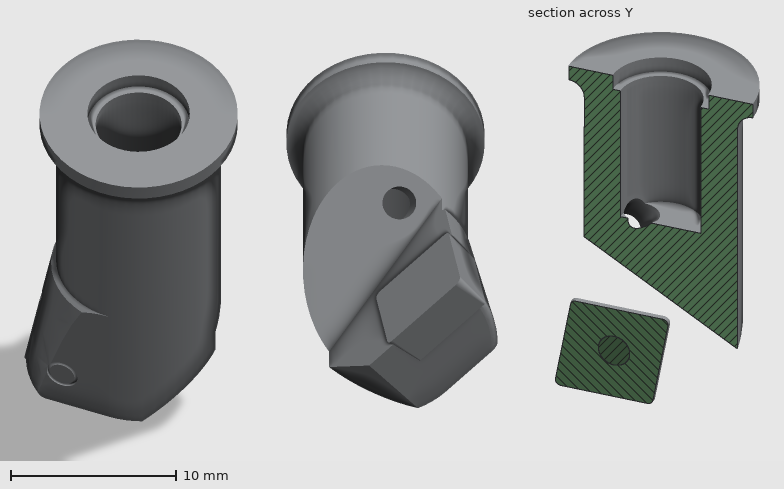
import cadquery as cq
import math


FLANGE_RADIUS = 6.0
FLANGE_THICKNESS = 1.0
SHANK_RADIUS = 5.0
NECK_RADIUS = FLANGE_RADIUS - SHANK_RADIUS
COUNTERBORE_RADIUS = 3.1
COUNTERBORE_DEPTH = 1.0
BORE_RADIUS = 2.6
BORE_DEPTH = 10.0

INSERT_INSCRIBED_CIRCLE = 6.35
INSERT_THICKNESS = 2.38
INSERT_ANGLE = 80.0
NOSE_RADIUS = 0.4
RELIEF_ANGLE = 7.0
NOSE_REACH = 6.9
TIP_Z = -23.03
INSERT_FACE_Y = 0.28

POCKET_RUNOUT = 0.5

RELIEF_SLOPE = math.tan(math.radians(RELIEF_ANGLE))
HEAD_TAPER = math.tan(math.radians(90.0 - INSERT_ANGLE))
HEAD_TOP_Z = -13.25
HEAD_STEP = 0.3
HEAD_BOTTOM_Z = -22.95
HEEL_CHAMFER_TOP_Z = -19.4
HEAD_TRIM = 2.0

CHIP_FACE_Z = -12.0
CHIP_SLOPE_X = -math.tan(math.radians(30.0))
CHIP_SLOPE_Y = 0.68

COOLANT_RADIUS = 1.0
COOLANT_START = cq.Vector(-1.56, 0.83, -BORE_DEPTH)
COOLANT_EXIT = cq.Vector(-3.0, 1.66, -12.04)

PIN_RADIUS = 1.0
PIN_CHAMFER = 0.2
PIN_X = -3.04
PIN_Z = -19.7

CLEAR = 40.0


def make_shank():
    neck_z = -FLANGE_THICKNESS - NECK_RADIUS
    neck_drop = NECK_RADIUS * (1 - math.sqrt(0.5))
    neck_middle = (SHANK_RADIUS + neck_drop, -FLANGE_THICKNESS - neck_drop)
    return (
        cq.Workplane("XZ")
        .lineTo(FLANGE_RADIUS, 0)
        .lineTo(FLANGE_RADIUS, -FLANGE_THICKNESS)
        .threePointArc(neck_middle, (SHANK_RADIUS, neck_z))
        .lineTo(SHANK_RADIUS, -CLEAR)
        .lineTo(0, -CLEAR)
        .close()
        .revolve(360, (0, 0), (0, 1))
    )


def below_relief_plane():
    """Everything under the bottom face, which rises toward -Y at the relief angle."""
    rise = CLEAR * RELIEF_SLOPE
    return (
        cq.Workplane("YZ")
        .moveTo(-CLEAR, HEAD_BOTTOM_Z + rise)
        .lineTo(CLEAR, HEAD_BOTTOM_Z - rise)
        .lineTo(CLEAR, -2 * CLEAR)
        .lineTo(-CLEAR, -2 * CLEAR)
        .close()
        .extrude(CLEAR, both=True)
    )


def make_cone_sector():
    """Quarter of a flaring cone that backs up the insert, flat on its -Y side."""
    step_z = HEAD_TOP_Z - HEAD_STEP
    step_radius = SHANK_RADIUS + HEAD_STEP
    end_z = TIP_Z - HEAD_TRIM
    end_radius = step_radius + (step_z - end_z) * HEAD_TAPER
    cone = (
        cq.Workplane("XZ")
        .moveTo(0, HEAD_TOP_Z)
        .lineTo(SHANK_RADIUS, HEAD_TOP_Z)
        .lineTo(step_radius, step_z)
        .lineTo(end_radius, end_z)
        .lineTo(0, end_z)
        .close()
        .revolve(360, (0, 0), (0, 1))
        .cut(below_relief_plane())
        .faces("<Z")
        .edges()
        .fillet(NOSE_RADIUS)
    )
    quarter = (
        cq.Workplane("XY", origin=(0, 0, -CLEAR))
        .rect(-CLEAR, -SHANK_RADIUS, centered=False)
        .extrude(CLEAR)
    )
    return cone.intersect(quarter)


def heel_chamfer():
    """45 degree cut on the +X side of the bottom."""
    return (
        cq.Workplane("XZ")
        .moveTo(SHANK_RADIUS - CLEAR, HEEL_CHAMFER_TOP_Z - CLEAR)
        .lineTo(SHANK_RADIUS + CLEAR, HEEL_CHAMFER_TOP_Z + CLEAR)
        .lineTo(SHANK_RADIUS + CLEAR, HEEL_CHAMFER_TOP_Z - CLEAR)
        .close()
        .extrude(CLEAR, both=True)
    )


def chip_space():
    """Everything at +Y that lies under the sloping chip face."""
    face_point = (-SHANK_RADIUS, 0, CHIP_FACE_Z)
    downward = (CHIP_SLOPE_X, CHIP_SLOPE_Y, -1.0)
    under_face = (
        cq.Workplane(cq.Plane(origin=face_point, normal=downward))
        .rect(2 * CLEAR, 2 * CLEAR)
        .extrude(CLEAR)
    )
    plus_y_side = cq.Workplane("XY").box(2 * CLEAR, CLEAR, 2 * CLEAR, centered=(True, False, True))
    return under_face.intersect(plus_y_side)


def coolant_hole():
    direction = (COOLANT_EXIT - COOLANT_START).normalized()
    inside_bore = COOLANT_START - direction * COOLANT_RADIUS
    return (
        cq.Workplane(cq.Plane(origin=inside_bore.toTuple(), normal=direction.toTuple()))
        .circle(COOLANT_RADIUS)
        .extrude(2 * SHANK_RADIUS)
    )


def make_insert_blank():
    half_angle = math.radians(INSERT_ANGLE / 2)
    side = INSERT_INSCRIBED_CIRCLE / math.sin(2 * half_angle)
    lean = INSERT_INSCRIBED_CIRCLE * HEAD_TAPER
    corner_x = -NOSE_REACH + NOSE_RADIUS - NOSE_RADIUS / math.tan(half_angle)
    top_z = TIP_Z + INSERT_INSCRIBED_CIRCLE
    outline = (
        cq.Sketch()
        .polygon(
            [
                (corner_x, TIP_Z),
                (corner_x + side, TIP_Z),
                (corner_x + side + lean, top_z),
                (corner_x + lean, top_z),
                (corner_x, TIP_Z),
            ]
        )
        .vertices()
        .fillet(NOSE_RADIUS)
    )
    return (
        cq.Workplane("XZ", origin=(0, INSERT_FACE_Y, 0))
        .placeSketch(outline)
        .extrude(INSERT_THICKNESS, taper=RELIEF_ANGLE)
    )


def make_pin():
    return (
        cq.Workplane("XZ", origin=(PIN_X, INSERT_FACE_Y, PIN_Z))
        .circle(PIN_RADIUS)
        .extrude(INSERT_FACE_Y + SHANK_RADIUS)
        .faces("<Y")
        .chamfer(PIN_CHAMFER)
    )


def pin_hole():
    return (
        cq.Workplane("XZ", origin=(PIN_X, INSERT_FACE_Y, PIN_Z))
        .circle(PIN_RADIUS)
        .extrude(CLEAR)
    )


def make_body(insert_blank):
    bore = cq.Workplane("XY").circle(BORE_RADIUS).extrude(-BORE_DEPTH)
    counterbore = cq.Workplane("XY").circle(COUNTERBORE_RADIUS).extrude(-COUNTERBORE_DEPTH)
    return (
        make_shank()
        .cut(below_relief_plane())
        .union(make_cone_sector())
        .cut(heel_chamfer())
        .cut(chip_space())
        .cut(bore)
        .cut(counterbore)
        .cut(coolant_hole())
        .cut(insert_blank)
        .cut(insert_blank.translate((-POCKET_RUNOUT, 0, 0)))
        .cut(pin_hole())
    )


insert_blank = make_insert_blank()
body = make_body(insert_blank)
insert = insert_blank.cut(pin_hole())
pin = make_pin()

result = cq.Compound.makeCompound([body.solids().val(), insert.solids().val(), pin.solids().val()])